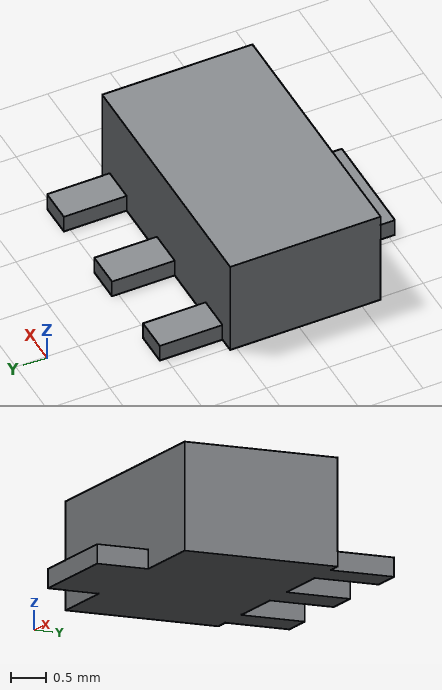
import cadquery as cq

body_width = 4.1
body_depth = 2.4
body_height = 1.6

terminal_thickness = 0.285
tab_width = 1.7
tab_length = 0.8
tab_offset = -0.055
lead_length = 1.0
outer_lead_width = 0.54
middle_lead_width = 0.57
lead_pitch = 1.535
middle_lead_offset = 0.01

body_front = -body_depth / 2
body_back = body_depth / 2


def block(width, depth, height, center_x, front_y):
    """Box standing on Z = 0, centred on center_x, with its front face at front_y."""
    box = cq.Workplane("XY").box(width, depth, height, centered=(True, False, False))
    return box.translate((center_x, front_y, 0))


def make_body():
    return block(body_width, body_depth, body_height, 0, body_front)


def make_tab():
    return block(tab_width, tab_length, terminal_thickness, tab_offset, body_front - tab_length)


def make_lead(width, center_x):
    return block(width, lead_length, terminal_thickness, center_x, body_back)


result = make_body().union(make_tab())
result = result.union(make_lead(middle_lead_width, middle_lead_offset))
for side in (-1, 1):
    result = result.union(make_lead(outer_lead_width, side * lead_pitch))